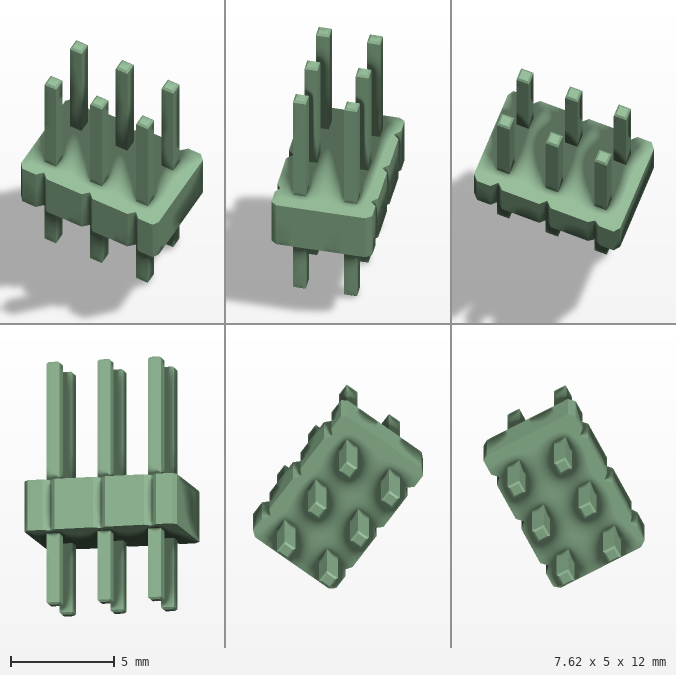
import cadquery as cq

body_length = 7.62
body_width = 5.0
body_height = 2.5
total_height = 12.0
pin_tail = 3.5

columns = 3
rows = 2
pitch = body_length / columns

pin_side = 0.65
tip_inset = 0.1
tip_height = 0.1

corner_width = 0.29
left_corner = 0.23
back_right_corner = 0.28
front_right_corner = 0.18
notch_half = 0.3
notch_depth = 0.3
shallow_notch_depth = 0.2

half_length = body_length / 2
half_width = body_width / 2
column_places = [(i - (columns - 1) / 2) * pitch for i in range(columns)]
row_places = [(j - (rows - 1) / 2) * pitch for j in range(rows)]


def notch_points(x, side, depth):
    """V notch in the long side at side * half_width, listed from -X to +X."""
    edge = side * half_width
    return [
        (x - notch_half, edge),
        (x, edge - side * depth),
        (x + notch_half, edge),
    ]


def make_body():
    """Housing block with chamfered corners and a V notch beside each pin."""
    front = []
    back = []
    for column, x in enumerate(column_places):
        depth = shallow_notch_depth if column == 0 else notch_depth
        front += notch_points(x, -1, notch_depth)
        back += notch_points(x, 1, depth)

    side = half_width - corner_width
    outline = [(-half_length, -side), (-half_length + left_corner, -half_width)]
    outline += front
    outline += [(half_length - front_right_corner, -half_width), (half_length, -side)]
    outline += [(half_length, side), (half_length - back_right_corner, half_width)]
    outline += reversed(back)
    outline += [(-half_length + left_corner, half_width), (-half_length, side)]
    return cq.Workplane("XY").polyline(outline).close().extrude(body_height)


def make_pin():
    """Square pin with a bevelled tip at both ends."""
    return (
        cq.Workplane("XY")
        .box(pin_side, pin_side, total_height, centered=(True, True, False))
        .faces("<Z or >Z")
        .chamfer(tip_height, tip_inset)
        .translate((0, 0, -pin_tail))
    )


result = make_body()
pin = make_pin()
for pin_x in column_places:
    for pin_y in row_places:
        result = result.union(pin.translate((pin_x, pin_y, 0)))